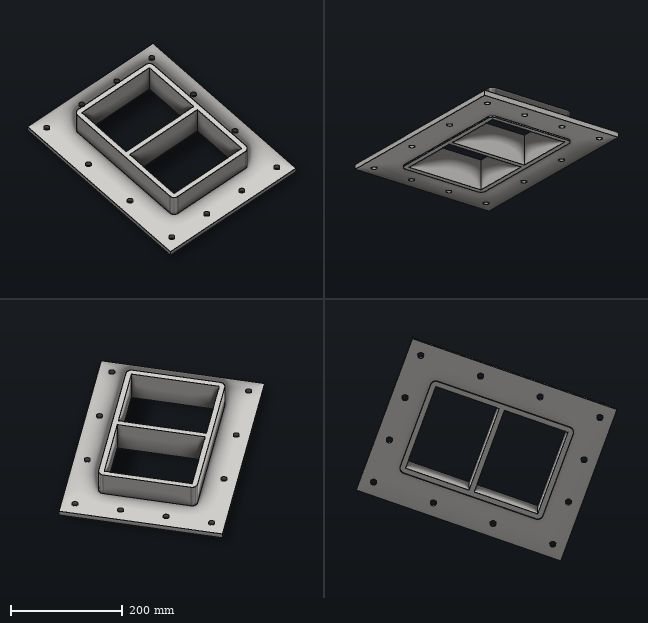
import cadquery as cq

plate_length = 391.0
plate_width = 299.5
plate_thickness = 10.0

frame_length = 272.0
frame_width = 181.0
frame_height = 60.0
frame_corner_radius = 10.0
wall = 10.0
frame_drop = 2.7

window_length = (frame_length - 3 * wall) / 2
window_width = frame_width - 2 * wall
window_pitch = window_length + wall

hole_diameter = 10.5
hole_edge_distance = 24.5
holes_per_side = 4
hole_span_x = plate_length - 2 * hole_edge_distance
hole_span_y = plate_width - 2 * hole_edge_distance


def bolt_positions():
    """Evenly spaced points on the perimeter of the bolt rectangle."""
    last = holes_per_side - 1
    points = []
    for column in range(holes_per_side):
        for row in range(holes_per_side):
            if column in (0, last) or row in (0, last):
                x = hole_span_x * (column / last - 0.5)
                y = hole_span_y * (row / last - 0.5)
                points.append((x, y))
    return points


plate = (
    cq.Workplane("XY")
    .rect(plate_length, plate_width)
    .extrude(plate_thickness)
    .faces(">Z")
    .workplane()
    .pushPoints(bolt_positions())
    .hole(hole_diameter)
)

frame = (
    cq.Workplane("XY", origin=(0, 0, -frame_drop))
    .rect(frame_length, frame_width)
    .extrude(frame_height)
    .edges("|Z")
    .fillet(frame_corner_radius)
)

windows = (
    cq.Workplane("XY", origin=(0, 0, -frame_drop))
    .rarray(window_pitch, 4, 2, 1)
    .rect(window_length, window_width)
    .extrude(frame_height)
)

result = plate.union(frame).cut(windows)